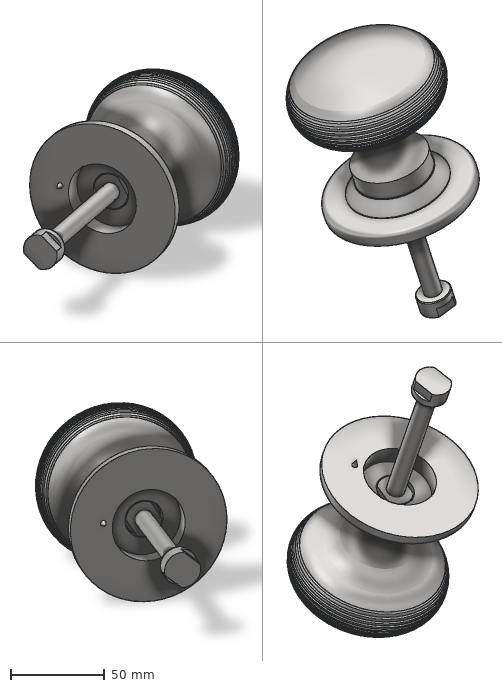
import cadquery as cq
import math


knob_top = 96.5
knob_diameter = 88.0
knob_radius = knob_diameter / 2
rim_arc_radius = 16.0
rim_centre_y = 74.5
rim_centre_radius = knob_radius - rim_arc_radius
rim_top_offset = 14.0
rim_bottom_offset = -15.5
neck_radius = 16.4
neck_arc_radius = 18.3
neck_top_y = 51.5
collar_radius = 22.0
collar_top = 26.3

groove_count = 9
groove_span = 19.9
groove_pitch = groove_span / (groove_count - 1)
groove_radius = 0.61

rose_radius = 43.0
plate_thickness = 7.5
plate_fillet = 3.5
cone_base_radius = 29.0
cone_top_radius = 22.3
cone_top = 15.2
land_height = 0.5
recess_radius = 20.0
recess_depth = 10.8
bore_radius = 10.5

bush_radius = 10.0
bush_length = 10.3
bush_flat_offset = 8.2
bush_flat_length = 3.5
bush_flat_angle = 32

shank_radius = 5.0
head_radius = 10.0
head_length = 10.3
head_chamfer = 0.5
head_end = -78.0
head_flat_offset = 8.0
head_flat_length = 6.0
head_flat_angle = 50

pin_x = -25.0
pin_z = 3.0
pin_radius = 1.5
pin_length = 4.2

rose_height = cone_top + land_height
bush_end = recess_depth + bush_length


def cylinder(radius, start, end):
    """Cylinder on the Y axis from Y = start to Y = end."""
    axis = cq.Vector(0, 1, 0)
    return cq.Workplane(cq.Solid.makeCylinder(radius, end - start, cq.Vector(0, start, 0), axis))


def cut_flats(body, radius, offset, angle, start, length):
    """Cut two opposite flats, with normals at the angle from X towards Z."""
    depth = radius - offset
    for side in (0, 180):
        block = (
            cq.Workplane("XY")
            .box(depth, length, 2 * radius, centered=(False, False, True))
            .translate((offset, start, 0))
            .rotate((0, 0, 0), (0, 1, 0), side - angle)
        )
        body = body.cut(block)
    return body


def rim_point(offset):
    """Point (radius, Y) on the rim arc at a height offset from its centre."""
    radius = rim_centre_radius + math.sqrt(rim_arc_radius**2 - offset**2)
    return radius, rim_centre_y + offset


def make_knob():
    """Solid of revolution with a reeded rim and a socket for the bush."""
    neck_axis_radius = neck_radius + neck_arc_radius
    waist_y = collar_top + math.sqrt(neck_arc_radius**2 - (neck_axis_radius - collar_radius) ** 2)
    neck_top_radius = neck_axis_radius - math.sqrt(neck_arc_radius**2 - (neck_top_y - waist_y) ** 2)

    dome_radius, dome_base = rim_point(rim_top_offset)
    dome_height = knob_top - dome_base
    dome_sphere = (dome_radius**2 + dome_height**2) / (2 * dome_height)
    dome_mid = dome_radius / 2
    dome_mid_y = knob_top - dome_sphere + math.sqrt(dome_sphere**2 - dome_mid**2)
    knob = (
        cq.Workplane("XY")
        .moveTo(0, rose_height)
        .lineTo(collar_radius, rose_height)
        .lineTo(collar_radius, collar_top)
        .threePointArc((neck_radius, waist_y), (neck_top_radius, neck_top_y))
        .tangentArcPoint(rim_point(rim_bottom_offset), relative=False)
        .threePointArc((knob_radius, rim_centre_y), rim_point(rim_top_offset))
        .threePointArc((dome_mid, dome_mid_y), (0, knob_top))
        .close()
        .revolve(360, (0, 0, 0), (0, 1, 0))
    )
    for index in range(groove_count):
        offset = (index - (groove_count - 1) / 2) * groove_pitch
        ring_radius, ring_y = rim_point(offset)
        centre = cq.Vector(0, ring_y, 0)
        ring = cq.Solid.makeTorus(ring_radius, groove_radius, centre, cq.Vector(0, 1, 0))
        knob = knob.cut(cq.Workplane(ring))
    return knob.cut(cylinder(bush_radius, rose_height, bush_end))


def make_rose():
    """Round back plate with a cone that carries the knob, recessed and bored from behind."""
    plate = cylinder(rose_radius, 0, plate_thickness).faces(">Y").edges().fillet(plate_fillet)
    cone_base = plate_thickness + land_height
    cone = cq.Solid.makeCone(
        cone_base_radius,
        cone_top_radius,
        cone_top - cone_base,
        cq.Vector(0, cone_base, 0),
        cq.Vector(0, 1, 0),
    )
    rose = plate.union(cylinder(cone_base_radius, plate_thickness, cone_base))
    rose = rose.union(cq.Workplane(cone))
    rose = rose.union(cylinder(cone_top_radius, cone_top, rose_height))
    rose = rose.cut(cylinder(recess_radius, 0, recess_depth))
    return rose.cut(cylinder(bore_radius, recess_depth, rose_height))


def make_bush():
    """Ring with two flats, flush with the floor of the rose recess."""
    bush = cylinder(bush_radius, recess_depth, bush_end)
    bush = cut_flats(bush, bush_radius, bush_flat_offset, bush_flat_angle, recess_depth, bush_flat_length)
    return bush.cut(cylinder(shank_radius, recess_depth, bush_end))


def make_bolt():
    """Plain shank that ends level with the bush, with a round head that has two flats."""
    head = cylinder(head_radius, head_end, head_end + head_length).faces(">Y").edges().chamfer(head_chamfer)
    head = cut_flats(head, head_radius, head_flat_offset, head_flat_angle, head_end, head_flat_length)
    return head.union(cylinder(shank_radius, head_end + head_length, bush_end))


def make_pin():
    """Conical spike that stands on the back face of the rose."""
    base = cq.Vector(pin_x, 0, pin_z)
    return cq.Workplane(cq.Solid.makeCone(pin_radius, 0, pin_length, base, cq.Vector(0, -1, 0)))


knob = make_knob()
rose = make_rose()
bush = make_bush()
bolt = make_bolt()
pin = make_pin()
result = cq.Compound.makeCompound([knob.val(), rose.val(), bush.val(), bolt.val(), pin.val()])